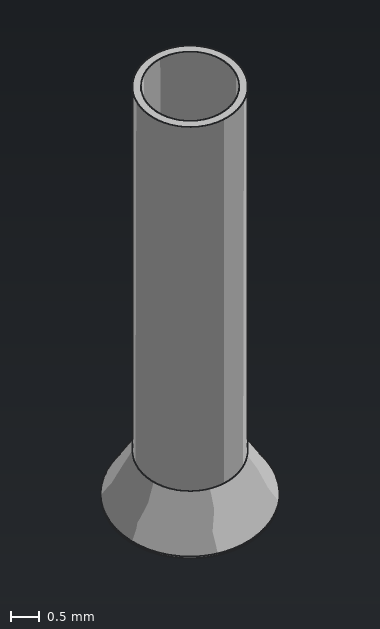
import cadquery as cq

total_height = 10.0
tube_radius = 1.0
wall = 0.15
head_radius = 1.55
head_height = 1.1
rim_height = 0.05

bore_radius = tube_radius - wall

half_section = (
    cq.Workplane("XZ")
    .moveTo(bore_radius, 0)
    .lineTo(head_radius, 0)
    .lineTo(head_radius, rim_height)
    .lineTo(tube_radius, head_height)
    .lineTo(tube_radius, total_height)
    .lineTo(bore_radius, total_height)
    .close()
)
result = half_section.revolve(360, (0, 0, 0), (0, 1, 0))